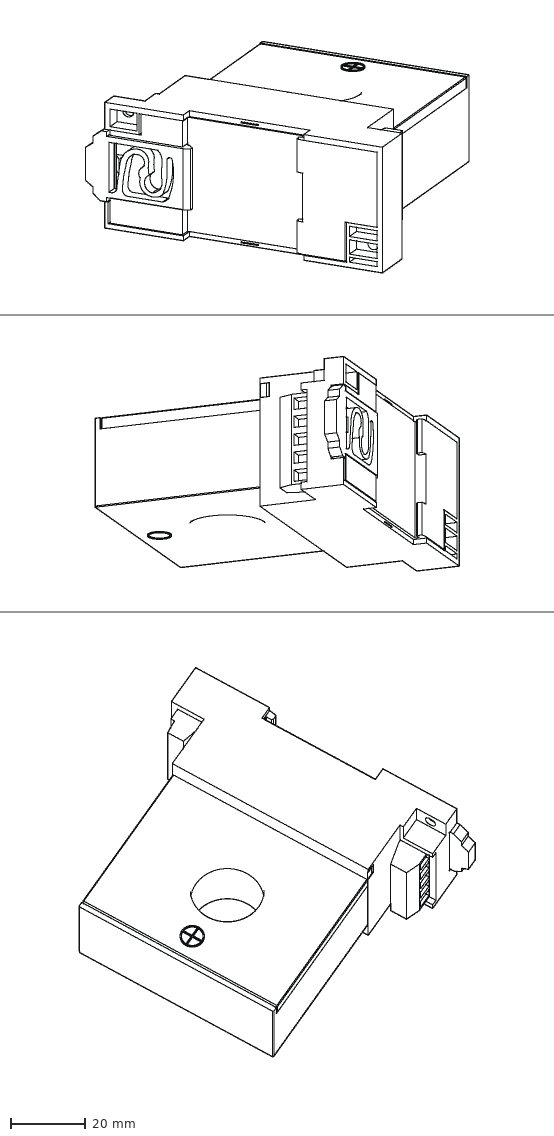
import cadquery as cq

base_height = 36.1
foot_half_width = 41.5
foot_depth = 12.4
neck_half_width = 31.1
neck_depth = 28.6
rail_half_width = 18.0
rail_depth = 3.8
pry_slot_width = 5.1
pry_slot_height = 0.3
pry_slot_depth = 0.9
pry_slot_low_z = 0.7
pry_slot_high_z = 35.1

cover_half_width = 39.9
cover_bottom = 1.7
cover_top = 34.4
cover_back = 5.3
rail_panel_y = 3.2
cover_rail_left = -18.25
cover_rail_right = 17.6
cover_left_notch_x = -30.6
cover_left_notch_z = 28.35
cover_right_notch_x = 30.3
cover_right_notch_z = 12.85
left_gap = 0.6
bottom_gap = 0.3
left_notch_gap = 0.7
right_notch_gap = 0.4

hook_tip_x = 15.7
hook_nose_x = 16.1
hook_nose_y = 0.3
hook_y = 2.1
hook_tip_low_y = 0.4
hook_tip_high_y = 1.7
hook_low_top = 10.9
hook_high_bottom = 24.9

screw_x = 36.6
screw_hole_diameter = 3.2
screw_pocket_depth = 4.4
left_screw_z = 32.8
right_screw_z = 6.1
left_pocket_x = (-39.9, -31.9)
left_pocket_z = (29.3, 34.4)
right_pocket_x = (31.6, 39.9)
right_pockets_z = [(1.6, 3.0), (3.9, 8.0), (8.95, 11.9)]

corner_cut_x = -32.2
corner_cut_y = 5.7
corner_cut_z = 29.9

snap_z = (30.6, 34.5)
snap_deep_y = 26.7
snap_shallow_y = 25.9
snap_deep = 0.2
snap_shallow = 0.1

latch_front = -0.3
latch_back = 3.2
latch_bottom = 8.95
latch_top = 26.5
latch_shoulder_x = -40.75
latch_body_end_x = -17.9
latch_tip_x = -16.0
latch_tip_y = (0.5, 1.5)
latch_grip_x = -47.1
latch_channel_depth = 3.7
latch_channel_top = 26.8
latch_wall_slot_z = (7.6, 28.35)

ramp_z = (15.9, 20.2)
ramp_end_x = -37.4
ramp_crest_y = 0.4

terminal_inner_x = 31.2
terminal_inner_y = 13.1
terminal_outer_x = 39.4
terminal_outer_y = 15.95
terminal_top_y = 20.0
terminal_crown_inner_x = 32.9
terminal_crown_outer_x = 37.9
terminal_ledge_x = 38.3
left_terminal_z = (2.3, 27.7)
left_terminal_seat_y = 10.7
terminal_seat_clearance = 0.3
wire_count = 5
wire_pitch = 5.05
wire_first_z = 4.8
wire_width = 4.25
wire_height = 3.2
wire_y = 13.1
wire_depth = 2.7
wire_taper = 5.0

sensor_half_width = 30.9
sensor_rear = 76.7
sensor_bottom = 5.2
sensor_top = 30.2
lid_bottom = 27.0
lid_rear = 75.2
lid_rear_chamfer = 0.6
edge_chamfer = 0.3
bore_y = 50.6
bore_diameter = 19.8
bore_fillet = 1.7
sleeve_diameter = bore_diameter + 2 * bore_fillet
sleeve_bottom = 23.0

mark_diameter = 6.55
mark_line = 0.35
mark_height = 0.3
lid_mark_y = 68.5
bottom_mark_y = 70.4


def box(x_range, y_range, z_range):
    """Axis-aligned block between pairs of limits."""
    (x0, x1), (y0, y1), (z0, z1) = x_range, y_range, z_range
    return cq.Workplane("XY").box(x1 - x0, y1 - y0, z1 - z0, centered=False).translate((x0, y0, z0))


def prism_z(points, z_range):
    """XY outline raised between two heights."""
    return cq.Workplane("XY").workplane(offset=z_range[0]).polyline(points).close().extrude(z_range[1] - z_range[0])


def prism_y(points, y_range):
    """XZ outline extruded between two depths."""
    sketch = cq.Workplane("XZ", origin=(0, y_range[0], 0)).polyline(points).close()
    return sketch.extrude(y_range[0] - y_range[1])


def cylinder(diameter, x, y, z_range):
    """Upright cylinder."""
    return (
        cq.Workplane("XY", origin=(x, y, z_range[0])).circle(diameter / 2).extrude(z_range[1] - z_range[0])
    )


def cover_recess():
    """Pocket for the cover, wider than it where there is a gap."""
    left = -cover_half_width - left_gap
    bottom = cover_bottom - bottom_gap
    left_step_x = cover_left_notch_x - left_notch_gap
    right_step_x = cover_right_notch_x + right_notch_gap
    outline = [
        (left, bottom),
        (right_step_x, bottom),
        (right_step_x, cover_right_notch_z),
        (cover_half_width, cover_right_notch_z),
        (cover_half_width, cover_top),
        (left_step_x, cover_top),
        (left_step_x, cover_left_notch_z),
        (left, cover_left_notch_z),
    ]
    return prism_y(outline, (0, cover_back))


def screw_hole(x, z):
    """Clearance hole through the foot."""
    return cq.Workplane("XZ", origin=(x, 0, z)).circle(screw_hole_diameter / 2).extrude(-foot_depth)


def make_base():
    full_height = (0, base_height)
    base = box((-foot_half_width, foot_half_width), (0, foot_depth), full_height)
    base = base.union(box((-neck_half_width, neck_half_width), (0, neck_depth), full_height))
    base = base.cut(box((-rail_half_width, rail_half_width), (0, rail_depth), full_height))
    base = base.cut(cover_recess())
    wall_inner_x = -cover_half_width - left_gap
    base = base.cut(box((-foot_half_width, wall_inner_x), (0, latch_channel_depth), latch_wall_slot_z))

    for z in (pry_slot_low_z, pry_slot_high_z):
        slot_z = (z - pry_slot_height / 2, z + pry_slot_height / 2)
        slot_x = (-pry_slot_width / 2, pry_slot_width / 2)
        base = base.cut(box(slot_x, (rail_depth, rail_depth + pry_slot_depth), slot_z))

    base = base.cut(box((-foot_half_width, corner_cut_x), (corner_cut_y, foot_depth), (corner_cut_z, base_height)))
    base = base.cut(box(left_pocket_x, (0, screw_pocket_depth), left_pocket_z))
    for pocket_z in right_pockets_z:
        base = base.cut(box(right_pocket_x, (0, screw_pocket_depth), pocket_z))
    base = base.cut(screw_hole(-screw_x, left_screw_z))
    base = base.cut(screw_hole(screw_x, right_screw_z))

    neck_left = -neck_half_width
    base = base.cut(box((neck_left, neck_left + snap_deep), (snap_deep_y, neck_depth), snap_z))
    base = base.cut(box((neck_left, neck_left + snap_shallow), (snap_shallow_y, snap_deep_y), snap_z))

    seat_bottom = left_terminal_z[0] - terminal_seat_clearance
    seat_top = left_terminal_z[1] + terminal_seat_clearance
    seat_y = (left_terminal_seat_y, foot_depth)
    return base.cut(box((-foot_half_width, -terminal_inner_x), seat_y, (seat_bottom, seat_top)))


def make_cover():
    plan = [
        (-cover_half_width, 0),
        (cover_rail_left, 0),
        (cover_rail_left, rail_panel_y),
        (cover_rail_right, rail_panel_y),
        (cover_rail_right, 0),
        (cover_half_width, 0),
        (cover_half_width, cover_back),
        (-cover_half_width, cover_back),
    ]
    cover = prism_z(plan, (cover_bottom, cover_top))

    through = (0, cover_back)
    cover = cover.cut(
        box((-cover_half_width, cover_left_notch_x), through, (cover_left_notch_z, cover_top))
    )
    cover = cover.cut(
        box((cover_right_notch_x, cover_half_width), through, (cover_bottom, cover_right_notch_z))
    )

    hook = [
        (cover_rail_right, 0),
        (hook_nose_x, hook_nose_y),
        (hook_tip_x, hook_tip_low_y),
        (hook_tip_x, hook_tip_high_y),
        (hook_nose_x, hook_y),
        (cover_rail_right, hook_y),
    ]
    for hook_z in ((cover_bottom, hook_low_top), (hook_high_bottom, cover_top)):
        cover = cover.union(prism_z(hook, hook_z))

    channel_x = (-cover_half_width, cover_rail_left)
    cover = cover.cut(box(channel_x, (0, latch_channel_depth), (latch_bottom, latch_channel_top)))
    ramp = [
        (-cover_half_width, latch_channel_depth),
        (ramp_end_x, ramp_crest_y),
        (ramp_end_x, latch_channel_depth),
    ]
    return cover.union(prism_z(ramp, ramp_z))


def outer_spring_slot():
    """Slot above the S-shaped spring and down its left side."""
    return (
        cq.Workplane("XZ", origin=(0, latch_front, 0))
        .moveTo(-40.1, 24.9)
        .lineTo(-25.6, 24.9)
        .threePointArc((-24.6, 23.7), (-24.3, 21.9))
        .lineTo(-24.4, 17.1)
        .threePointArc((-25.2, 13.5), (-27.1, 12.4))
        .threePointArc((-28.7, 13.1), (-29.4, 14.9))
        .threePointArc((-29.2, 16.1), (-28.1, 17.3))
        .threePointArc((-28.35, 19.3), (-28.2, 21.2))
        .threePointArc((-29.4, 23.6), (-32.1, 24.2))
        .threePointArc((-34.6, 23.1), (-36.8, 19.3))
        .lineTo(-37.3, 15.7)
        .lineTo(-37.7, 12.3)
        .threePointArc((-38.45, 10.9), (-39.7, 10.5))
        .lineTo(-40.1, 10.5)
        .close()
        .extrude(latch_front - latch_back)
    )


def inner_spring_slot():
    """Slot below the S-shaped spring and up its right side."""
    return (
        cq.Workplane("XZ", origin=(0, latch_front, 0))
        .moveTo(-34.7, 10.3)
        .lineTo(-24.0, 10.3)
        .threePointArc((-22.5, 11.3), (-21.9, 12.7))
        .threePointArc((-20.9, 16.8), (-21.2, 22.8))
        .threePointArc((-21.9, 23.3), (-22.7, 22.8))
        .lineTo(-22.7, 19.0)
        .threePointArc((-23.0, 15.5), (-24.1, 12.3))
        .threePointArc((-27.1, 11.25), (-30.1, 12.7))
        .threePointArc((-30.8, 14.35), (-30.7, 16.1))
        .threePointArc((-31.2, 17.5), (-30.5, 19.0))
        .threePointArc((-29.5, 20.5), (-31.45, 22.7))
        .lineTo(-32.5, 22.7)
        .threePointArc((-34.0, 21.5), (-35.0, 19.0))
        .lineTo(-35.7, 15.8)
        .lineTo(-36.1, 12.3)
        .threePointArc((-35.7, 10.9), (-34.7, 10.3))
        .close()
        .extrude(latch_front - latch_back)
    )


def make_latch():
    plan = [
        (latch_shoulder_x, latch_front),
        (latch_body_end_x, latch_front),
        (latch_tip_x, latch_tip_y[0]),
        (latch_tip_x, latch_tip_y[1]),
        (latch_body_end_x, latch_back),
        (latch_shoulder_x, latch_back),
    ]
    slide = prism_z(plan, (latch_bottom, latch_top))

    grip_outline = [
        (latch_shoulder_x, 7.7),
        (-42.7, 7.7),
        (-44.9, 9.6),
        (-44.9, 11.3),
        (latch_grip_x, 12.9),
        (latch_grip_x, 22.3),
        (-44.9, 23.9),
        (-44.9, 25.9),
        (-42.35, 27.8),
        (latch_shoulder_x, 27.8),
    ]
    grip = prism_y(grip_outline, (latch_front, latch_back))
    return slide.union(grip).cut(outer_spring_slot()).cut(inner_spring_slot())


def make_left_terminal():
    outline = [
        (-terminal_inner_x, left_terminal_seat_y),
        (-terminal_inner_x, terminal_inner_y),
        (-terminal_crown_inner_x, terminal_top_y),
        (-terminal_crown_outer_x, terminal_top_y),
        (-terminal_outer_x, terminal_outer_y),
        (-terminal_outer_x, left_terminal_seat_y),
    ]
    terminal = prism_z(outline, left_terminal_z)
    for index in range(wire_count):
        opening_z = wire_first_z + index * wire_pitch
        opening = (
            cq.Workplane("YZ", origin=(-terminal_outer_x, wire_y, opening_z))
            .rect(wire_width, wire_height)
            .extrude(wire_depth, taper=wire_taper)
        )
        terminal = terminal.cut(opening)
    return terminal


def make_right_terminal():
    outline = [
        (terminal_inner_x, foot_depth),
        (terminal_inner_x, terminal_inner_y),
        (terminal_crown_inner_x, terminal_top_y),
        (terminal_crown_outer_x, terminal_top_y),
        (terminal_ledge_x, terminal_outer_y),
        (terminal_outer_x, terminal_outer_y),
        (terminal_outer_x, foot_depth),
    ]
    bottom = base_height - left_terminal_z[1]
    top = base_height - left_terminal_z[0]
    return prism_z(outline, (bottom, top))


def mark_ring(y, z_range):
    """Raised ring on a sensor face."""
    ring = cylinder(mark_diameter, 0, y, z_range)
    return ring.cut(cylinder(mark_diameter - 2 * mark_line, 0, y, z_range))


def rounded_bore_cutter():
    """Bore with flared, filleted mouths at the top and bottom faces."""
    radius = bore_diameter / 2
    mouth = radius + bore_fillet
    bend = bore_fillet * (1 - 0.5 ** 0.5)
    return (
        cq.Workplane("XZ", origin=(0, bore_y, 0))
        .moveTo(0, sensor_bottom)
        .lineTo(mouth, sensor_bottom)
        .threePointArc((radius + bend, sensor_bottom + bend), (radius, sensor_bottom + bore_fillet))
        .lineTo(radius, sensor_top - bore_fillet)
        .threePointArc((radius + bend, sensor_top - bend), (mouth, sensor_top))
        .lineTo(0, sensor_top)
        .close()
        .revolve(360, (0, 0, 0), (0, 1, 0))
    )


def lid_envelope():
    """Lid plate without chamfers, plus its sleeve around the bore."""
    plate = box((-sensor_half_width, sensor_half_width), (neck_depth, lid_rear), (lid_bottom, sensor_top))
    return plate, cylinder(sleeve_diameter, 0, bore_y, (sleeve_bottom, lid_bottom))


def make_sensor_body():
    body = box((-sensor_half_width, sensor_half_width), (neck_depth, sensor_rear), (sensor_bottom, sensor_top))
    body = body.edges("|Z and >Y").chamfer(edge_chamfer)
    body = body.faces("<Z").edges("|Y").chamfer(edge_chamfer)
    plate, sleeve = lid_envelope()
    body = body.cut(plate).cut(sleeve).cut(rounded_bore_cutter())
    return body.union(mark_ring(bottom_mark_y, (sensor_bottom - mark_height, sensor_bottom)))


def make_lid():
    plate, sleeve = lid_envelope()
    plate = plate.edges(">Y and (|Z or >Z)").chamfer(lid_rear_chamfer)
    plate = plate.faces(">Z").edges("|Y").chamfer(edge_chamfer)
    lid = plate.union(sleeve).cut(rounded_bore_cutter())

    mark_z = (sensor_top, sensor_top + mark_height)
    lid = lid.union(mark_ring(lid_mark_y, mark_z))
    long_half = mark_diameter / 2 - mark_line / 2
    thin_half = mark_line / 2
    for half_x, half_y in ((long_half, thin_half), (thin_half, long_half)):
        bar = box((-half_x, half_x), (lid_mark_y - half_y, lid_mark_y + half_y), mark_z)
        lid = lid.union(bar)
    return lid


base = make_base()
cover = make_cover()
latch = make_latch()
left_terminal = make_left_terminal()
right_terminal = make_right_terminal()
sensor_body = make_sensor_body()
lid = make_lid()

result = cq.Compound.makeCompound(
    [
        base.val(),
        cover.val(),
        latch.val(),
        left_terminal.val(),
        right_terminal.val(),
        sensor_body.val(),
        lid.val(),
    ]
)